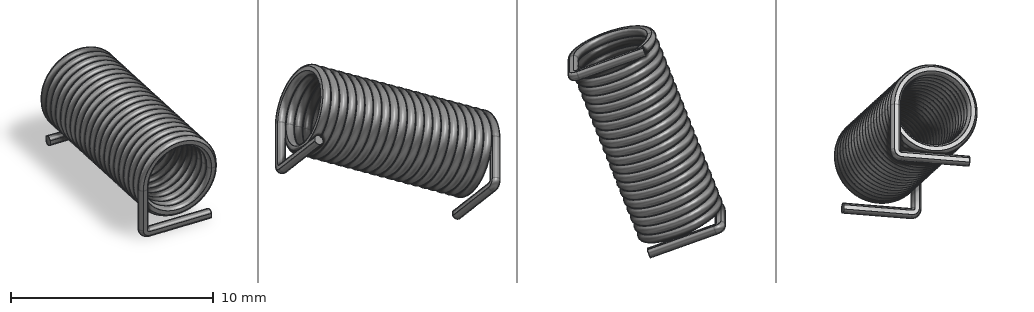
import cadquery as cq
import math

TOTAL_LENGTH = 10.35
TOTAL_HEIGHT = 5.05
COIL_DIAMETER = 4.5
WIRE_DIAMETER = 0.5
WIRE_WIDTH = 0.45
FULL_TURNS = 20
LAST_TURN = 0.5
BEND_INNER_RADIUS = 0.02

wire_radius = WIRE_DIAMETER / 2
coil_outer_radius = COIL_DIAMETER / 2
coil_inner_radius = coil_outer_radius - WIRE_DIAMETER
winding_radius = coil_outer_radius - wire_radius
winding_length = TOTAL_LENGTH - WIRE_WIDTH
pitch = winding_length / (FULL_TURNS + LAST_TURN)
winding_start = -winding_length / 2
foot_bottom = coil_outer_radius - TOTAL_HEIGHT
foot_top = foot_bottom + WIRE_DIAMETER


def wire_section():
    """Wire section at the start of the coil, on the XY plane: a circle with flats facing +X and -X."""
    half_width = WIRE_WIDTH / 2
    half_flat = math.sqrt(wire_radius**2 - half_width**2)
    return (
        cq.Workplane("XY", origin=(winding_start, winding_radius, 0))
        .moveTo(-half_width, -half_flat)
        .threePointArc((0, -wire_radius), (half_width, -half_flat))
        .lineTo(half_width, half_flat)
        .threePointArc((0, wire_radius), (-half_width, half_flat))
        .close()
    )


def make_winding(turns):
    """Helical winding about X that starts at +Y and rises over the top."""
    helix = cq.Wire.makeHelix(
        pitch,
        pitch * turns,
        winding_radius,
        center=cq.Vector(winding_start, 0, 0),
        dir=cq.Vector(1, 0, 0),
    )
    helix = helix.rotate(cq.Vector(0, 0, 0), cq.Vector(1, 0, 0), -90)
    return wire_section().sweep(cq.Workplane(obj=helix), isFrenet=True).val()


def make_leg():
    """Upright down from the start of the coil, a tight bend and a foot running toward -Y."""
    bend_y = coil_inner_radius - BEND_INNER_RADIUS
    bend_z = foot_top + BEND_INNER_RADIUS
    bend_radius = BEND_INNER_RADIUS + wire_radius
    path = (
        cq.Workplane("YZ", origin=(winding_start, 0, 0))
        .moveTo(winding_radius, 0)
        .lineTo(winding_radius, bend_z)
        .radiusArc((bend_y, bend_z - bend_radius), bend_radius)
        .lineTo(-coil_inner_radius, bend_z - bend_radius)
    )
    return wire_section().sweep(path)


full_turn = make_winding(1)
half_turn = make_winding(LAST_TURN)
pieces = [full_turn.translate(cq.Vector(i * pitch, 0, 0)) for i in range(FULL_TURNS)]
pieces.append(half_turn.translate(cq.Vector(FULL_TURNS * pitch, 0, 0)))

start_leg = make_leg().val()
end_leg = start_leg.rotate((0, 0, 0), (0, 0, 1), 180)

result = cq.Workplane(start_leg.fuse(*pieces, end_leg))